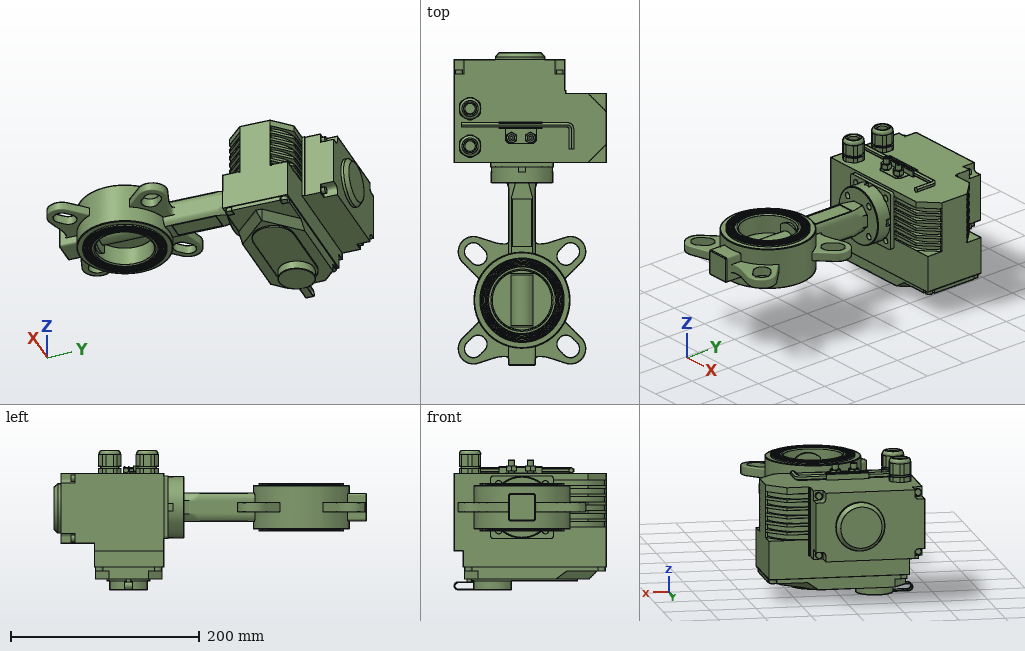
import cadquery as cq
import math


RING_RADIUS = 51.0
RING_HEIGHT = 46.4
SEAT_RADIUS = 44.8
SEAT_HEIGHT = 50.2
BORE_RADIUS = 31.6
BORE_EDGE_CHAMFER = 1.4
RING_EDGE_CHAMFER = 0.7
SEAT_GROOVES = [(43.8, 42.6), (41.4, 40.2), (39.0, 37.8), (36.6, 35.4)]
SEAT_GROOVE_DEPTH = 0.8
DISC_THICKNESS = 6.0
HUB_RADIUS = 11.8
HUB_HALF_LENGTH = 26.7
PAD_RADIUS = 20.0
PAD_FACE_Y = 28.5

LUG_THICKNESS = 10.0
LUG_RADIUS = 16.2
LUG_CENTRE = 51.5
LUG_SLOPE = math.radians(17.8)
LUG_BEND_X = 29.0
LUG_FLAT_X = 20.0
LUG_ROOT_RADIUS = 3.0
LUG_EDGE_FILLET = 1.0
SLOT_WIDTH = 18.8
SLOT_INNER = 46.6

NECK_HALF_WIDTH = 14.25
NECK_HALF_HEIGHT = 15.2
NECK_FLAT_X = 10.9
NECK_FLAT_Z = 7.0
NECK_CORNER_BULGE = 0.8
NECK_RECESS_DEPTH = 0.8
NECK_RECESS_HALF_WIDTH = 10.2
NECK_RECESS_Y = (57.2, 107.5)
FLARE_FLAT_X = 7.0
FLARE_CORNER_BULGE = 0.2
FLARE_LENGTH = 14.3
WEDGE_HALF_WIDTH = 15.8
WEDGE_LENGTH = 5.0
FOOT_HALF_HEIGHT = 14.6
FOOT_END_Y = -69.3
FOOT_CORNER_RADIUS = 2.5
FOOT_END_CHAMFER = 1.0
FLANGE_RADIUS = 32.7
FLANGE_FRONT_Y = 124.3
PLATE_FRONT_Y = 141.5
PLATE_WIDTH = 66.5
PLATE_CORNER_RADIUS = 3.0
FLANGE_EDGE_CHAMFER = 0.8
FLANGE_HOLE_CIRCLE = 50.0
PLATE_HOLE_CIRCLE = 70.0
MOUNT_HOLE_DIAMETER = 7.0
NOTCH_WIDTH = 7.5
NOTCH_LENGTH = 5.3
NOTCH_DEPTH = 4.0

HOUSING_LEFT = -72.0
HOUSING_RIGHT = 89.5
HOUSING_FRONT = 146.0
HOUSING_TOP = 36.0
MAIN_BACK = 219.5
MAIN_BOTTOM = -46.2
LOWER_LEFT = -62.4
LOWER_BOTTOM = -63.2
REAR_RIGHT = 45.4
REAR_BACK = 255.2
REAR_BOTTOM = -38.4
REAR_LIP = (46.6, 222.6)
POCKET_SIZE = 10.4
POCKET_DEPTH = 15.2
POCKET_RADIUS = 4.0
REAR_SCREW_DIAMETER = 7.0
REAR_SCREW_HEAD = 4.2
CAP_RADIUS = 26.3
CAP_TOP_RADIUS = 22.3
CAP_X = -2.0
CAP_RIM = 3.0
CAP_BACK = 262.7

FIN_CHAMFER = 19.5
FIN_BLOCK_BOTTOM = -21.2
FIN_BLOCK_LEFT = 33.6
FIN_FIRST_GAP_TOP = 28.8
FIN_PITCH = 8.83
FIN_GAP = 5.8
FIN_COUNT = 6
MOTOR_X = 53.0
MOTOR_RADIUS = 34.4
END_WALL_THICKNESS = 2.2

COVER_FRONT = 147.8
COVER_BACK = 218.6
COVER_LEFT = -61.0
COVER_RIGHT = 88.6
COVER_NOTCH = 8.0
COVER_FLANGE_BOTTOM = -67.8
COVER_BOTTOM = -76.3
COVER_LEFT_CHAMFER = 14.3
COVER_NOSE_TOP = (47.5, 79.5)
COVER_NOSE_BOTTOM = (35.7, 71.0)
COVER_SCREW_DIAMETER = 7.6
COVER_SCREW_INSET = 4.2
DIAL_LEFT = -53.5
DIAL_RIGHT = 59.0
DIAL_WIDTH = 46.0
DIAL_BOTTOM = -78.0
KNOB_X = -31.3
KNOB_Y = 183.4
KNOB_RADIUS = 20.0
KNOB_BOTTOM = -87.6
KNOB_EDGE_CHAMFER = 0.5
STRAP_WIDTH = 8.4
STRAP_THICKNESS = 0.9
STRAP_OUTER_RADIUS = 4.2
RIVET_X = -56.0
RIVET_RADIUS = 2.6

GLAND_X = -55.1
GLAND_Y = (163.5, 203.3)
GLAND_FLATS = 22.6
GLAND_CORNERS = 24.0
GLAND_BASE_TOP = 41.2
GLAND_NECK_RADIUS = 9.6
GLAND_NUT_BOTTOM = 43.4
GLAND_NUT_EDGE = 56.0
GLAND_TOP = 60.4
GLAND_TOP_RADIUS = 8.5
GLAND_HOLE_RADIUS = 5.6
GLAND_HOLE_CHAMFER = 1.4
KEY_FLATS = 5.0
KEY_Z = 39.1
KEY_Y = 186.0
KEY_START_X = -64.2
KEY_LEG_X = 52.4
KEY_LEG_END_Y = 160.5
KEY_BEND_RADIUS = 4.5
CLIP_LEFT = -24.3
CLIP_RIGHT = 21.3
CLIP_FRONT = 182.2
CLIP_BACK = 188.8
CLIP_TOP = 43.0
CLIP_EDGE_CHAMFER = 0.9
CLIP_SLOT = (183.6, 187.2)
CLIP_SLOT_BOTTOM = 40.5
TAB_LEFT = -17.4
TAB_RIGHT = 15.2
TAB_FRONT = 166.2
TAB_THICKNESS = 0.4
TAB_CHAMFER = 3.0
STUD_X = (-11.1, 8.9)
STUD_Y = 172.3
STUD_RADIUS = 3.3
STUD_TOP = 50.0
SOCKET_FLATS = 3.0
SOCKET_DEPTH = 4.0
NUT_FLATS = 10.4
NUT_BOTTOM = 38.2
NUT_TOP = 44.0
NUT_EDGE_CHAMFER = 0.8


def box(x0, x1, y0, y1, z0, z1):
    """Box between two opposite corners."""
    return cq.Workplane("XY").box(x1 - x0, y1 - y0, z1 - z0, centered=False).translate((x0, y0, z0))


def cyl_z(x, y, radius, z0, z1):
    """Upright cylinder between two heights."""
    return cq.Workplane("XY", origin=(x, y, z0)).circle(radius).extrude(z1 - z0)


def cyl_y(x, z, radius, y0, y1):
    """Cylinder along the stem axis between two Y positions."""
    return cq.Workplane("XZ", origin=(x, y0, z)).circle(radius).extrude(y0 - y1)


def hex_z(x, y, flats, z0, z1):
    """Upright hexagonal prism with two flats facing +X and -X."""
    corners = flats / math.cos(math.pi / 6)
    prism = cq.Workplane("XY").polygon(6, corners).extrude(z1 - z0)
    return prism.rotate((0, 0, 0), (0, 0, 1), 30).translate((x, y, z0))


def neck_section(y, flat_x, bulge):
    """Neck outline at a given Y: flat top, bottom and sides joined by bulging corners."""
    corner_run = NECK_HALF_WIDTH - flat_x
    corner_rise = NECK_HALF_HEIGHT - NECK_FLAT_Z
    corner_length = math.hypot(corner_run, corner_rise)
    bulge_x = (NECK_HALF_WIDTH + flat_x) / 2 + bulge * corner_rise / corner_length
    bulge_z = (NECK_HALF_HEIGHT + NECK_FLAT_Z) / 2 + bulge * corner_run / corner_length
    return (
        cq.Workplane("XZ", origin=(0, y, 0))
        .moveTo(NECK_HALF_WIDTH, -NECK_FLAT_Z)
        .lineTo(NECK_HALF_WIDTH, NECK_FLAT_Z)
        .threePointArc((bulge_x, bulge_z), (flat_x, NECK_HALF_HEIGHT))
        .lineTo(-flat_x, NECK_HALF_HEIGHT)
        .threePointArc((-bulge_x, bulge_z), (-NECK_HALF_WIDTH, NECK_FLAT_Z))
        .lineTo(-NECK_HALF_WIDTH, -NECK_FLAT_Z)
        .threePointArc((-bulge_x, -bulge_z), (-flat_x, -NECK_HALF_HEIGHT))
        .lineTo(flat_x, -NECK_HALF_HEIGHT)
        .threePointArc((bulge_x, -bulge_z), (NECK_HALF_WIDTH, -NECK_FLAT_Z))
        .close()
    )


def make_lug():
    """Flange ear at +X +Y, flowing into the neck on one side and the ring on the other."""
    sin_slope, cos_slope = math.sin(LUG_SLOPE), math.cos(LUG_SLOPE)
    diagonal = LUG_RADIUS * math.sqrt(0.5)
    upper_tangent = (LUG_CENTRE - LUG_RADIUS * sin_slope, LUG_CENTRE + LUG_RADIUS * cos_slope)
    lower_tangent = (LUG_CENTRE + diagonal, LUG_CENTRE - diagonal)
    bend_y = upper_tangent[1] - (upper_tangent[0] - LUG_BEND_X) * math.tan(LUG_SLOPE)
    flat_y = bend_y - (LUG_BEND_X - LUG_FLAT_X) * math.tan(LUG_SLOPE / 2)
    root_y = flat_y + LUG_ROOT_RADIUS
    lug = (
        cq.Workplane("XY", origin=(0, 0, -LUG_THICKNESS / 2))
        .moveTo(*lower_tangent)
        .threePointArc((LUG_CENTRE + diagonal, LUG_CENTRE + diagonal), upper_tangent)
        .lineTo(LUG_BEND_X, bend_y)
        .tangentArcPoint((LUG_FLAT_X, flat_y), relative=False)
        .lineTo(NECK_HALF_WIDTH + LUG_ROOT_RADIUS, flat_y)
        .tangentArcPoint((NECK_HALF_WIDTH, root_y), relative=False)
        .lineTo(0, root_y)
        .lineTo(0, 0)
        .lineTo(lower_tangent[0] - lower_tangent[1], 0)
        .close()
        .extrude(LUG_THICKNESS)
        .faces("<Z or >Z").edges().fillet(LUG_EDGE_FILLET)
    )
    slot_middle = (LUG_CENTRE + SLOT_INNER) / 2
    slot_length = (LUG_CENTRE - SLOT_INNER) * math.sqrt(2) + SLOT_WIDTH
    slot = (
        cq.Workplane("XY", origin=(slot_middle, slot_middle, -LUG_THICKNESS))
        .slot2D(slot_length, SLOT_WIDTH, 45)
        .extrude(2 * LUG_THICKNESS)
    )
    return lug.cut(slot)


def make_neck():
    """Neck from the ring up to the flange, recessed on top and bottom and flared at its end."""
    flare_start = FLANGE_FRONT_Y - FLARE_LENGTH
    neck = neck_section(0, NECK_FLAT_X, NECK_CORNER_BULGE).extrude(-flare_start)
    start_wire = neck_section(flare_start, NECK_FLAT_X, NECK_CORNER_BULGE).val()
    end_wire = neck_section(FLANGE_FRONT_Y, FLARE_FLAT_X, FLARE_CORNER_BULGE).val()
    flare = cq.Workplane(cq.Solid.makeLoft([start_wire, end_wire], True))
    wedge = (
        cq.Workplane("XZ", origin=(0, FLANGE_FRONT_Y - WEDGE_LENGTH, 0))
        .rect(2 * NECK_HALF_WIDTH, 2 * NECK_FLAT_Z)
        .workplane(offset=-WEDGE_LENGTH)
        .rect(2 * WEDGE_HALF_WIDTH, 2 * NECK_FLAT_Z)
        .loft(ruled=True)
    )
    recess = box(-NECK_RECESS_HALF_WIDTH, NECK_RECESS_HALF_WIDTH, *NECK_RECESS_Y,
                 NECK_HALF_HEIGHT - NECK_RECESS_DEPTH, NECK_HALF_HEIGHT)
    return neck.union(flare).union(wedge).cut(recess).cut(recess.mirror("XY"))


def make_foot():
    """Blind stem boss on the -Y side of the ring."""
    foot = box(-NECK_HALF_WIDTH, NECK_HALF_WIDTH, FOOT_END_Y, 0, -FOOT_HALF_HEIGHT, FOOT_HALF_HEIGHT)
    foot = foot.edges("|Y").fillet(FOOT_CORNER_RADIUS)
    return foot.faces("<Y").chamfer(FOOT_END_CHAMFER)


def make_valve():
    """Ring, lugs, neck and foot with the lined bore, the closed disc and its hub."""
    ring = cyl_z(0, 0, RING_RADIUS, -RING_HEIGHT / 2, RING_HEIGHT / 2)
    seat = cyl_z(0, 0, SEAT_RADIUS, -SEAT_HEIGHT / 2, SEAT_HEIGHT / 2)
    valve = ring.faces("<Z or >Z").chamfer(RING_EDGE_CHAMFER).union(seat)

    lug = make_lug()
    lug_row = lug.union(lug.mirror("YZ"))
    valve = valve.union(lug_row).union(lug_row.mirror("XZ"))
    valve = valve.union(make_neck()).union(make_foot())

    bore = cyl_z(0, 0, BORE_RADIUS, -SEAT_HEIGHT, SEAT_HEIGHT)
    valve = valve.cut(bore)
    valve = valve.faces("<Z or >Z").edges(cq.selectors.RadiusNthSelector(0)).chamfer(BORE_EDGE_CHAMFER)
    for outer, inner in SEAT_GROOVES:
        groove = (
            cq.Workplane("XY", origin=(0, 0, SEAT_HEIGHT / 2 - SEAT_GROOVE_DEPTH))
            .circle(outer).circle(inner).extrude(SEAT_GROOVE_DEPTH)
        )
        valve = valve.cut(groove).cut(groove.mirror("XY"))

    pads = cyl_y(0, 0, PAD_RADIUS, PAD_FACE_Y, RING_RADIUS)
    pads = pads.union(pads.mirror("XZ")).intersect(bore)
    hub = cyl_y(0, 0, HUB_RADIUS, -HUB_HALF_LENGTH, HUB_HALF_LENGTH)
    disc = cyl_z(0, 0, BORE_RADIUS, -DISC_THICKNESS / 2, DISC_THICKNESS / 2)
    return valve.union(pads).union(disc).union(hub)


def make_flange():
    """Round valve flange against the square actuator plate, with both hole patterns."""
    plate = box(-PLATE_WIDTH / 2, PLATE_WIDTH / 2, PLATE_FRONT_Y, HOUSING_FRONT,
                -PLATE_WIDTH / 2, PLATE_WIDTH / 2)
    plate = plate.edges("|Y").fillet(PLATE_CORNER_RADIUS)
    round_flange = cyl_y(0, 0, FLANGE_RADIUS, FLANGE_FRONT_Y, PLATE_FRONT_Y)
    round_flange = round_flange.faces("<Y").chamfer(FLANGE_EDGE_CHAMFER)
    notch = box(-NOTCH_WIDTH / 2, NOTCH_WIDTH / 2, PLATE_FRONT_Y - NOTCH_LENGTH, PLATE_FRONT_Y,
                FLANGE_RADIUS - NOTCH_DEPTH, FLANGE_RADIUS + NOTCH_DEPTH)
    for quarter in range(4):
        round_flange = round_flange.cut(notch.rotate((0, 0, 0), (0, 1, 0), 90 * quarter))
    flange_holes = mount_holes(FLANGE_HOLE_CIRCLE, FLANGE_FRONT_Y, PLATE_FRONT_Y)
    plate_holes = mount_holes(PLATE_HOLE_CIRCLE, PLATE_FRONT_Y, HOUSING_FRONT)
    return plate.cut(plate_holes).union(round_flange.cut(flange_holes))


def mount_holes(circle_diameter, y0, y1):
    """Four holes along Y on the diagonals of a bolt circle."""
    spacing = circle_diameter * math.sqrt(0.5)
    return (
        cq.Workplane("XZ", origin=(0, y0, 0))
        .rect(spacing, spacing, forConstruction=True).vertices()
        .circle(MOUNT_HOLE_DIAMETER / 2).extrude(y0 - y1)
    )


def make_rear_block():
    """Rear housing with screw pockets in its four corners and a round cap."""
    block = box(HOUSING_LEFT, REAR_RIGHT, MAIN_BACK, REAR_BACK, REAR_BOTTOM, HOUSING_TOP)
    block = block.union(box(0, REAR_LIP[0], MAIN_BACK, REAR_LIP[1], REAR_BOTTOM, HOUSING_TOP))
    pocket_floor = REAR_BACK - POCKET_DEPTH
    screw_inset = POCKET_SIZE / 2
    for corner_x, x_in in ((HOUSING_LEFT, 1), (REAR_RIGHT, -1)):
        for corner_z, z_in in ((REAR_BOTTOM, 1), (HOUSING_TOP, -1)):
            pocket = (
                cq.Workplane("XZ", origin=(corner_x, pocket_floor, corner_z))
                .rect(2 * POCKET_SIZE, 2 * POCKET_SIZE).extrude(-POCKET_DEPTH)
                .edges("|Y").fillet(POCKET_RADIUS)
            )
            screw = cyl_y(corner_x + x_in * screw_inset, corner_z + z_in * screw_inset,
                          REAR_SCREW_DIAMETER / 2, pocket_floor, pocket_floor + REAR_SCREW_HEAD)
            block = block.cut(pocket).union(screw)
    cap_z = (REAR_BOTTOM + HOUSING_TOP) / 2
    cap = cyl_y(CAP_X, cap_z, CAP_RADIUS, REAR_BACK, CAP_BACK)
    cap = cap.faces(">Y").chamfer(CAP_BACK - REAR_BACK - CAP_RIM, CAP_RADIUS - CAP_TOP_RADIUS)
    return block.union(cap)


def make_motor_block():
    """Chamfered finned block around the half-round motor wall, closed by a flat end wall."""
    block = box(0, HOUSING_RIGHT, HOUSING_FRONT, MAIN_BACK, FIN_BLOCK_BOTTOM, HOUSING_TOP)
    block = block.edges("|Z and >X").chamfer(FIN_CHAMFER)
    motor_y = (HOUSING_FRONT + MAIN_BACK) / 2
    for index in range(FIN_COUNT):
        top = FIN_FIRST_GAP_TOP - index * FIN_PITCH
        bottom = max(top - FIN_GAP, FIN_BLOCK_BOTTOM)
        gap = box(FIN_BLOCK_LEFT, HOUSING_RIGHT, HOUSING_FRONT, MAIN_BACK, bottom, top)
        wall = cyl_z(MOTOR_X, motor_y, MOTOR_RADIUS, bottom, top)
        wall = wall.union(box(FIN_BLOCK_LEFT, MOTOR_X, motor_y - MOTOR_RADIUS, motor_y + MOTOR_RADIUS,
                              bottom, top))
        block = block.cut(gap.cut(wall))
    end_wall = box(HOUSING_RIGHT - END_WALL_THICKNESS, HOUSING_RIGHT,
                   HOUSING_FRONT + FIN_CHAMFER, MAIN_BACK - FIN_CHAMFER, FIN_BLOCK_BOTTOM, HOUSING_TOP)
    return block.union(end_wall)


def make_housing():
    """Whole actuator housing."""
    housing = box(HOUSING_LEFT, FIN_BLOCK_LEFT, HOUSING_FRONT, MAIN_BACK, MAIN_BOTTOM, HOUSING_TOP)
    lower = box(LOWER_LEFT, HOUSING_RIGHT, HOUSING_FRONT, MAIN_BACK, LOWER_BOTTOM, FIN_BLOCK_BOTTOM)
    return housing.union(lower).union(make_motor_block()).union(make_rear_block())


def cover_outline(nose):
    """Cover outline with chamfered corners on the left and a tapered nose on the right."""
    nose_start, nose_tip = nose
    middle = (COVER_FRONT + COVER_BACK) / 2
    front_half = [
        (COVER_LEFT, COVER_FRONT + COVER_LEFT_CHAMFER),
        (COVER_LEFT + COVER_LEFT_CHAMFER, COVER_FRONT),
        (nose_start, COVER_FRONT),
        (nose_tip, COVER_FRONT + nose_tip - nose_start),
    ]
    return front_half + [(x, 2 * middle - y) for x, y in reversed(front_half)]


def make_cover():
    """Bottom cover: notched flange with four screws and the faceted lower part."""
    cover = box(COVER_LEFT, COVER_RIGHT, COVER_FRONT, COVER_BACK, COVER_FLANGE_BOTTOM, LOWER_BOTTOM)
    for corner_x, x_in in ((COVER_LEFT, 1), (COVER_RIGHT, -1)):
        for corner_y, y_in in ((COVER_FRONT, 1), (COVER_BACK, -1)):
            notch = cq.Workplane("XY", origin=(corner_x, corner_y, COVER_FLANGE_BOTTOM))
            notch = notch.rect(2 * COVER_NOTCH, 2 * COVER_NOTCH).extrude(LOWER_BOTTOM - COVER_FLANGE_BOTTOM)
            screw = cyl_z(corner_x + x_in * COVER_SCREW_INSET, corner_y + y_in * COVER_SCREW_INSET,
                          COVER_SCREW_DIAMETER / 2, COVER_FLANGE_BOTTOM, LOWER_BOTTOM)
            cover = cover.cut(notch).union(screw)
    lower = (
        cq.Workplane("XY", origin=(0, 0, COVER_FLANGE_BOTTOM))
        .polyline(cover_outline(COVER_NOSE_TOP)).close()
        .workplane(offset=COVER_BOTTOM - COVER_FLANGE_BOTTOM)
        .polyline(cover_outline(COVER_NOSE_BOTTOM)).close()
        .loft(ruled=True)
    )
    return cover.union(lower)


def make_indicator():
    """Dial plate, turning knob and the hairpin strap riveted to the cover."""
    dial = (
        cq.Workplane("XY", origin=((DIAL_LEFT + DIAL_RIGHT) / 2, KNOB_Y, DIAL_BOTTOM))
        .slot2D(DIAL_RIGHT - DIAL_LEFT, DIAL_WIDTH).extrude(COVER_BOTTOM - DIAL_BOTTOM)
    )
    knob = cyl_z(KNOB_X, KNOB_Y, KNOB_RADIUS, KNOB_BOTTOM, DIAL_BOTTOM)
    knob = knob.faces("<Z").chamfer(KNOB_EDGE_CHAMFER)

    strap_z = KNOB_BOTTOM + STRAP_OUTER_RADIUS
    slot_length = 2 * (KNOB_X - HOUSING_LEFT)
    hairpin = cq.Workplane("XZ", origin=(KNOB_X, KNOB_Y, strap_z)).slot2D(slot_length, 2 * STRAP_OUTER_RADIUS)
    hairpin = hairpin.extrude(STRAP_WIDTH / 2, both=True)
    inside = (
        cq.Workplane("XZ", origin=(KNOB_X, KNOB_Y, strap_z))
        .slot2D(slot_length - 2 * STRAP_THICKNESS, 2 * (STRAP_OUTER_RADIUS - STRAP_THICKNESS))
        .extrude(STRAP_WIDTH / 2, both=True)
    )
    left_side = box(HOUSING_LEFT, KNOB_X, KNOB_Y - STRAP_WIDTH, KNOB_Y + STRAP_WIDTH,
                    KNOB_BOTTOM, DIAL_BOTTOM)
    strap = hairpin.cut(inside).intersect(left_side)
    rivet = cyl_z(RIVET_X, KNOB_Y, RIVET_RADIUS, strap_z + STRAP_OUTER_RADIUS - STRAP_THICKNESS, COVER_BOTTOM)
    return dial.union(knob).union(strap).union(rivet)


def make_gland(y):
    """Cable gland: hexagonal base, neck, domed hexagonal nut and cable hole."""
    base = hex_z(GLAND_X, y, GLAND_FLATS, HOUSING_TOP, GLAND_BASE_TOP)
    neck = cyl_z(GLAND_X, y, GLAND_NECK_RADIUS, GLAND_BASE_TOP, GLAND_NUT_BOTTOM)
    nut = hex_z(GLAND_X, y, GLAND_FLATS, GLAND_NUT_BOTTOM, GLAND_NUT_EDGE)
    envelope = cyl_z(GLAND_X, y, GLAND_CORNERS / 2, HOUSING_TOP, GLAND_NUT_EDGE)
    dome_radius = GLAND_FLATS / 2
    dome_height = GLAND_TOP - GLAND_NUT_EDGE
    dome_inset = dome_radius - GLAND_TOP_RADIUS
    dome_middle = (dome_radius - dome_inset * (1 - math.sqrt(0.5)), dome_height * math.sqrt(0.5))
    dome = (
        cq.Workplane("XZ", origin=(GLAND_X, y, GLAND_NUT_EDGE))
        .lineTo(dome_radius, 0)
        .threePointArc(dome_middle, (GLAND_TOP_RADIUS, dome_height))
        .lineTo(0, dome_height)
        .close()
        .revolve(360, (0, 0, 0), (0, 1, 0))
    )
    hole = cyl_z(GLAND_X, y, GLAND_HOLE_RADIUS, GLAND_NUT_BOTTOM, GLAND_TOP)
    mouth = (
        cq.Workplane("XY", origin=(GLAND_X, y, GLAND_TOP))
        .circle(GLAND_HOLE_RADIUS + GLAND_HOLE_CHAMFER)
        .workplane(offset=-GLAND_HOLE_CHAMFER)
        .circle(GLAND_HOLE_RADIUS)
        .loft()
    )
    return base.union(neck).union(nut).intersect(envelope).union(dome).cut(hole).cut(mouth)


def make_hex_key():
    """Hexagonal key lying along X with its short leg bent towards -Y."""
    path = (
        cq.Workplane("XY", origin=(0, 0, KEY_Z))
        .moveTo(KEY_START_X, KEY_Y)
        .lineTo(KEY_LEG_X - KEY_BEND_RADIUS, KEY_Y)
        .tangentArcPoint((KEY_LEG_X, KEY_Y - KEY_BEND_RADIUS), relative=False)
        .lineTo(KEY_LEG_X, KEY_LEG_END_Y)
    )
    corners = KEY_FLATS / math.cos(math.pi / 6)
    profile = cq.Workplane("YZ", origin=(KEY_START_X, KEY_Y, KEY_Z))
    profile = profile.transformed(rotate=(0, 0, 90)).polygon(6, corners)
    return profile.sweep(path)


def make_key_holder():
    """Clip around the key, slotted along its top, with its mounting tab."""
    clip = box(CLIP_LEFT, CLIP_RIGHT, CLIP_FRONT, CLIP_BACK, HOUSING_TOP, CLIP_TOP)
    clip = clip.edges("|X and >Z").chamfer(CLIP_EDGE_CHAMFER)
    clip = clip.cut(box(CLIP_LEFT, CLIP_RIGHT, *CLIP_SLOT, CLIP_SLOT_BOTTOM, CLIP_TOP))
    tab = box(TAB_LEFT, TAB_RIGHT, TAB_FRONT, CLIP_BACK, HOUSING_TOP, HOUSING_TOP + TAB_THICKNESS)
    tab = tab.edges("|Z and <Y").chamfer(TAB_CHAMFER)
    return clip.union(tab)


def make_stop_screw(x):
    """Set screw with a lock nut and a hexagonal socket."""
    stud = cyl_z(x, STUD_Y, STUD_RADIUS, HOUSING_TOP, STUD_TOP)
    nut = hex_z(x, STUD_Y, NUT_FLATS, NUT_BOTTOM, NUT_TOP)
    nut_corner_radius = NUT_FLATS / math.sqrt(3)
    nut_envelope = cyl_z(x, STUD_Y, nut_corner_radius, NUT_BOTTOM, NUT_TOP)
    nut = nut.intersect(nut_envelope.faces("<Z or >Z").chamfer(NUT_EDGE_CHAMFER))
    socket = hex_z(x, STUD_Y, SOCKET_FLATS, STUD_TOP - SOCKET_DEPTH, STUD_TOP)
    return stud.union(nut).cut(socket)


result = make_valve().union(make_flange()).union(make_housing())
result = result.union(make_cover()).union(make_indicator())
for gland_y in GLAND_Y:
    result = result.union(make_gland(gland_y))
for stud_x in STUD_X:
    result = result.union(make_stop_screw(stud_x))
result = result.union(make_key_holder()).union(make_hex_key())